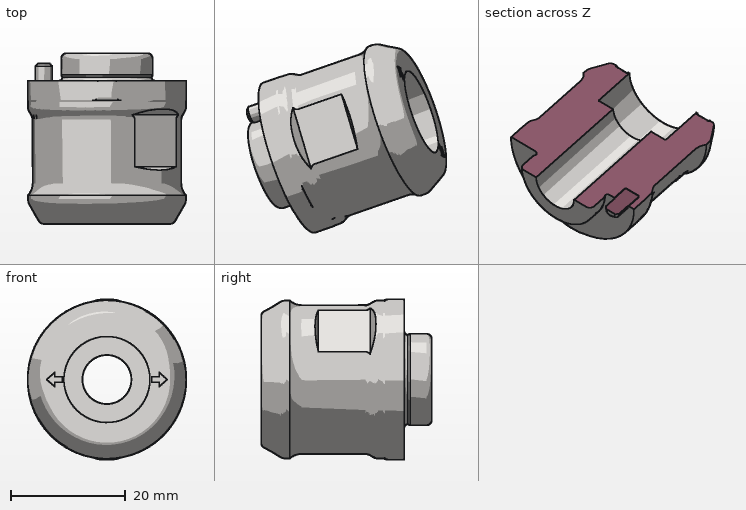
import cadquery as cq
import math


flange_radius = 27.7 / 2
flange_length = 3.4
flange_taper_length = 0.3

rim_radius = 27.6 / 2
waist_radius = 25.98 / 2
body_length = 25.0
taper_angle = math.radians(30)
back_rim_end = 4.6
back_blend_radius = 1.5
waist_end = 17.95
flare_radius = 3.0
flare_end = 19.92
front_rim_start = 20.0
front_rim_end = 20.65
front_blend_radius = 2.0
nose_radius = 1.0

spigot_radius = 16.0 / 2
spigot_length = 4.8
spigot_rounding = 1.0
neck_radius = 7.8
neck_top = 1.0
neck_fillet = 0.55

bore_radius = 15.0 / 2
bore_depth = 8.5
through_hole_radius = 8.5 / 2

lug_radius = 14.0
lug_root = 10.0
lug_top_width = 3.0
lug_base_width = 4.9
lug_front_slope_length = 0.45
lug_back_slope_length = 0.2
lug_slope = 0.2

flat_distance = 11.95
flat_start = 6.0
flat_end = 15.0
flat_wall_angle = math.radians(30)
flat_directions = (45, 225)

arrow_tip = 10.5
arrow_head_length = 1.4
arrow_length = 2.7
arrow_head_width = 2.5
arrow_shaft_width = 0.95
arrow_depth = 0.2

pin_radius = 3.0 / 2
pin_offset = 11.0
pin_height = 3.0
pin_seat_depth = 3.0
pin_chamfer = 0.5


def arc_point(center, radius, angle):
    """Point on a circle in the (radius, Y) plane; the angle is measured from the outward direction."""
    return (center[0] + radius * math.cos(angle), center[1] + radius * math.sin(angle))


def make_turned_blank():
    """Spigot, flange and body as one revolved outline, written as (radius, Y)."""
    back_rim_center = (rim_radius - back_blend_radius, -back_rim_end)
    slope_drop = rim_radius - waist_radius - 2 * back_blend_radius * (1 - math.cos(taper_angle))
    slope_length = slope_drop / math.tan(taper_angle)
    waist_start = back_rim_end + 2 * back_blend_radius * math.sin(taper_angle) + slope_length
    waist_center = (waist_radius + back_blend_radius, -waist_start)

    flare_center = (waist_radius + flare_radius, -waist_end)
    flare_sweep = math.asin((flare_end - waist_end) / flare_radius)

    front_center = (rim_radius - front_blend_radius, -front_rim_end)
    taper_start = arc_point(front_center, front_blend_radius, -taper_angle)
    nose_y = -body_length + nose_radius
    taper_end_y = nose_y - nose_radius * math.sin(taper_angle)
    taper_end_radius = taper_start[0] - (taper_start[1] - taper_end_y) * math.tan(taper_angle)
    nose_center = (taper_end_radius - nose_radius * math.cos(taper_angle), nose_y)
    nose_mid_angle = -(taper_angle + math.pi / 2) / 2

    spigot_center = (spigot_radius - spigot_rounding, spigot_length - spigot_rounding)
    neck_center = (neck_radius + neck_fillet, neck_fillet)

    outline = (
        cq.Workplane("XY")
        .moveTo(0, spigot_length)
        .lineTo(spigot_center[0], spigot_length)
        .threePointArc(
            arc_point(spigot_center, spigot_rounding, math.pi / 4),
            (spigot_radius, spigot_center[1]),
        )
        .lineTo(spigot_radius, neck_top)
        .lineTo(neck_radius, neck_fillet)
        .threePointArc(arc_point(neck_center, neck_fillet, math.pi * 5 / 4), (neck_center[0], 0))
        .lineTo(flange_radius, 0)
        .lineTo(flange_radius, -flange_length)
        .lineTo(rim_radius, -flange_length - flange_taper_length)
        .lineTo(rim_radius, -back_rim_end)
        .threePointArc(
            arc_point(back_rim_center, back_blend_radius, -taper_angle / 2),
            arc_point(back_rim_center, back_blend_radius, -taper_angle),
        )
        .lineTo(*arc_point(waist_center, back_blend_radius, math.pi - taper_angle))
        .threePointArc(
            arc_point(waist_center, back_blend_radius, math.pi - taper_angle / 2),
            (waist_radius, -waist_start),
        )
        .lineTo(waist_radius, -waist_end)
        .threePointArc(
            arc_point(flare_center, flare_radius, math.pi + flare_sweep / 2),
            arc_point(flare_center, flare_radius, math.pi + flare_sweep),
        )
        .lineTo(rim_radius, -front_rim_start)
        .lineTo(rim_radius, -front_rim_end)
        .threePointArc(arc_point(front_center, front_blend_radius, -taper_angle / 2), taper_start)
        .lineTo(taper_end_radius, taper_end_y)
        .threePointArc(
            arc_point(nose_center, nose_radius, nose_mid_angle),
            (nose_center[0], -body_length),
        )
        .lineTo(0, -body_length)
        .close()
    )
    return outline.revolve(360, (0, 0, 0), (0, 1, 0))


def make_bore():
    """Wide bore from the end face, followed by the through hole."""
    wide = cq.Workplane("XZ", origin=(0, -body_length, 0)).circle(bore_radius).extrude(-bore_depth)
    through = (
        cq.Workplane("XZ", origin=(0, -body_length, 0))
        .circle(through_hole_radius)
        .extrude(-(body_length + spigot_length))
    )
    return wide.union(through)


def make_lug():
    """Lug at +Z: sloping sides, curved top that drops slightly at both ends."""
    half_top = lug_top_width / 2
    half_base = lug_base_width / 2
    top_edge = math.sqrt(lug_radius ** 2 - half_top ** 2)
    base_edge = math.sqrt(flange_radius ** 2 - half_base ** 2)
    section = (
        cq.Workplane("XZ")
        .moveTo(-half_base, lug_root)
        .lineTo(-half_base, base_edge)
        .lineTo(-half_top, top_edge)
        .threePointArc((0, lug_radius), (half_top, top_edge))
        .lineTo(half_base, base_edge)
        .lineTo(half_base, lug_root)
        .close()
        .extrude(flange_length)
    )
    envelope = (
        cq.Workplane("XY")
        .moveTo(0, 0)
        .lineTo(lug_radius - lug_slope * lug_back_slope_length, 0)
        .lineTo(lug_radius, -lug_back_slope_length)
        .lineTo(lug_radius, -flange_length + lug_front_slope_length)
        .lineTo(lug_radius - lug_slope * lug_front_slope_length, -flange_length)
        .lineTo(0, -flange_length)
        .close()
        .revolve(360, (0, 0, 0), (0, 1, 0))
    )
    return section.intersect(envelope)


def make_flat_cutter(direction):
    """Trapezoidal cutter for one wrench flat; its end walls lean outwards."""
    height = lug_radius - flat_distance
    lean = height * math.tan(flat_wall_angle)
    return (
        cq.Workplane("XY")
        .moveTo(flat_distance, -flat_start)
        .lineTo(flat_distance + height, -flat_start + lean)
        .lineTo(flat_distance + height, -flat_end - lean)
        .lineTo(flat_distance, -flat_end)
        .close()
        .extrude(lug_radius, both=True)
        .rotate((0, 0, 0), (0, 1, 0), -direction)
    )


def make_arrow(side):
    """Shallow arrow pointing away from the axis; side is +1 for +X and -1 for -X."""
    neck = arrow_tip - arrow_head_length
    tail = arrow_tip - arrow_length
    half_head = arrow_head_width / 2
    half_shaft = arrow_shaft_width / 2
    points = [
        (arrow_tip, 0),
        (neck, half_head),
        (neck, half_shaft),
        (tail, half_shaft),
        (tail, -half_shaft),
        (neck, -half_shaft),
        (neck, -half_head),
    ]
    return (
        cq.Workplane("XZ", origin=(0, -body_length, 0))
        .polyline([(side * x, z) for x, z in points])
        .close()
        .extrude(-arrow_depth)
    )


def make_pin():
    """Locating pin seated in the flange, chamfered at its free end."""
    return (
        cq.Workplane("XZ", origin=(-pin_offset, -pin_seat_depth, 0))
        .circle(pin_radius)
        .extrude(-(pin_seat_depth + pin_height))
        .faces(">Y")
        .chamfer(pin_chamfer)
    )


def make_housing(pin):
    """Turned body with lugs, bores, wrench flats, arrows and the seat for the pin."""
    housing = make_turned_blank()
    lug = make_lug()
    for angle in (0, 180):
        housing = housing.union(lug.rotate((0, 0, 0), (0, 1, 0), angle))
    housing = housing.cut(make_bore())
    for direction in flat_directions:
        housing = housing.cut(make_flat_cutter(direction))
    for side in (1, -1):
        housing = housing.cut(make_arrow(side))
    return housing.cut(pin)


pin = make_pin()
housing = make_housing(pin)

result = cq.Compound.makeCompound([housing.val(), pin.val()])